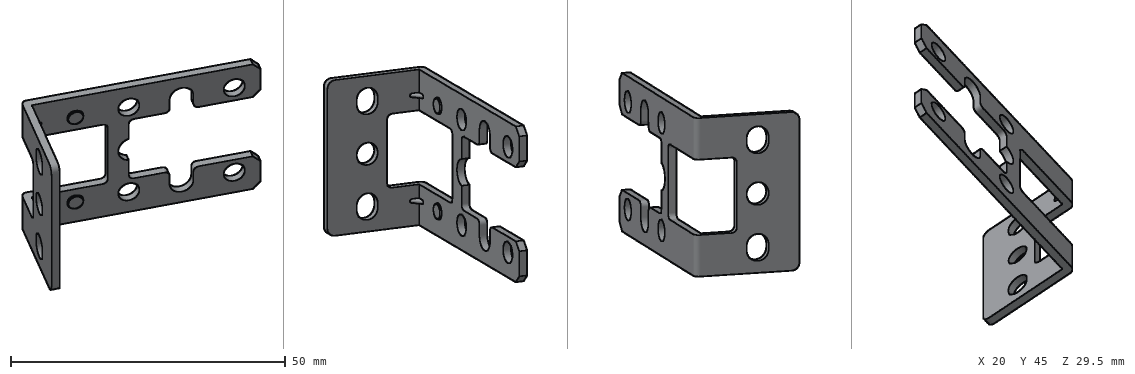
import cadquery as cq
import math

flange_length = 20.0
arm_length = 45.0
height = 29.5
thickness = 1.6
bend_outer_radius = 1.0

arm_tip_chamfer = 1.5
flange_corner_radius = 1.5

opening_height = 14.0
opening_corner_radius = 1.0
fork_bottom_y = 20.0
crossbar_width = 4.0
window_top_y = fork_bottom_y - crossbar_width
window_flange_end_x = 8.0

row_z = 10.0
arm_hole_diameter = 4.0
outer_arm_hole_y = 40.0
arm_hole_positions_y = (fork_bottom_y, outer_arm_hole_y)
notch_y = 30.0
notch_width = 4.5
notch_corner_radius = 1.0
relief_radius = 2.6
relief_depth = 2.0
relief_center_y = fork_bottom_y - relief_depth + relief_radius
edge_search_margin = 0.1

flange_hole_x = 12.0
flange_hole_diameter = 4.2
flange_slot_length = 5.0

boss_y = 9.85
boss_diameter = 3.1
boss_height = 0.3
boss_taper_angle = 25.0
gusset_leg = 1.85
gusset_ridge_radius = 0.4


def mirrored_pair(shape):
    """The shape together with its reflection in the plane Z = 0."""
    return shape.union(shape.mirror("XY"))


def window():
    """Opening through the bend, cut from both the arm and the flange."""
    arm_part = cq.Workplane("XY").box(thickness, window_top_y, opening_height, centered=(False, False, True))
    arm_part = arm_part.edges("|X and >Y").fillet(opening_corner_radius)
    flange_part = cq.Workplane("XY").box(
        window_flange_end_x, thickness, opening_height, centered=(False, False, True)
    )
    flange_part = flange_part.edges("|Y and >X").fillet(opening_corner_radius)
    return arm_part.union(flange_part)


def fork_opening():
    """Gap between the arm prongs, with a round-ended notch in each prong and a round relief at its base."""
    gap = (
        cq.Workplane("XY", origin=(0, fork_bottom_y, 0))
        .box(thickness, arm_length - fork_bottom_y, opening_height, centered=(False, False, True))
        .edges("|X and <Y")
        .fillet(opening_corner_radius)
    )
    notches = (
        cq.Workplane("YZ")
        .center(notch_y, 0)
        .slot2D(2 * row_z + notch_width, notch_width, 90)
        .extrude(thickness)
    )
    notch_mouth_edges = cq.selectors.BoxSelector(
        (-thickness, notch_y - notch_width, -opening_height / 2 - edge_search_margin),
        (2 * thickness, notch_y + notch_width, opening_height / 2 + edge_search_margin),
    )
    relief = cq.Workplane("YZ").center(relief_center_y, 0).circle(relief_radius).extrude(thickness)
    notched_gap = gap.union(notches).edges("|X").edges(notch_mouth_edges).fillet(notch_corner_radius)
    return notched_gap.union(relief)


def angle_blank():
    """L-section with a rounded outer bend, a forked arm with chamfered tips and rounded flange corners."""
    arm = cq.Workplane("XY").box(thickness, arm_length, height, centered=(False, False, True))
    arm = arm.cut(fork_opening()).edges("|X and >Y").chamfer(arm_tip_chamfer)
    flange = cq.Workplane("XY").box(flange_length, thickness, height, centered=(False, False, True))
    flange = flange.edges("|Y and >X").fillet(flange_corner_radius)
    return arm.union(flange).edges("|Z and <X and <Y").fillet(bend_outer_radius)


def arm_holes():
    """Round holes in both strips of the arm."""
    centers = [(y, z) for y in arm_hole_positions_y for z in (-row_z, row_z)]
    return cq.Workplane("YZ").pushPoints(centers).circle(arm_hole_diameter / 2).extrude(thickness)


def flange_holes():
    """Central round hole with a vertical slot above and below it."""
    plane = cq.Workplane("XZ", origin=(flange_hole_x, thickness, 0))
    round_hole = plane.circle(flange_hole_diameter / 2).extrude(thickness)
    slots = (
        plane.pushPoints([(0, -row_z), (0, row_z)])
        .slot2D(flange_slot_length, flange_hole_diameter, 90)
        .extrude(thickness)
    )
    return round_hole.union(slots)


def bosses():
    """Low tapered round boss on the inner face of each arm strip."""
    return (
        cq.Workplane("YZ", origin=(thickness, 0, 0))
        .pushPoints([(boss_y, -row_z), (boss_y, row_z)])
        .circle(boss_diameter / 2)
        .extrude(boss_height, taper=boss_taper_angle)
    )


def gussets():
    """Small diagonal gusset with a fully rounded ridge inside the bend of each strip."""
    inner_corner = (thickness, thickness, row_z)
    ridge_distance = gusset_leg / math.sqrt(2)
    diagonal_section = cq.Plane(origin=inner_corner, xDir=(1, 1, 0), normal=(1, -1, 0))
    ridge = (
        cq.Workplane(diagonal_section)
        .moveTo(0, -gusset_ridge_radius)
        .lineTo(ridge_distance - gusset_ridge_radius, -gusset_ridge_radius)
        .threePointArc((ridge_distance, 0), (ridge_distance - gusset_ridge_radius, gusset_ridge_radius))
        .lineTo(0, gusset_ridge_radius)
        .close()
        .extrude(gusset_leg, both=True)
    )
    bend_space = cq.Workplane("XY", origin=inner_corner).box(
        gusset_leg, gusset_leg, 2 * gusset_ridge_radius, centered=(False, False, True)
    )
    return mirrored_pair(ridge.intersect(bend_space))


result = (
    angle_blank()
    .cut(window())
    .cut(arm_holes())
    .cut(flange_holes())
    .union(bosses())
    .union(gussets())
)